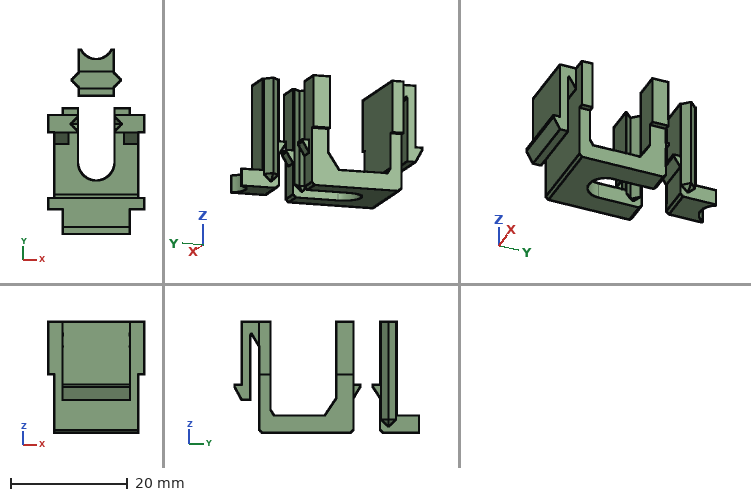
import cadquery as cq

height = 19.0
floor_height = 2.97
bottom_chamfer = 0.5

latch_front = 1.23
latch_back = 2.75
front_wall_start = 4.25
front_wall_end = 6.23
back_wall_start = 17.4
back_wall_end = 20.38

body_width = 14.4
shoulder_width = 16.5
shoulder_height = 10.0
latch_width = 11.53
latch_bottom = 5.62
hinge_low = 14.75
hinge_apex_y = 2.9
hinge_apex_z = 16.95
hinge_end = 16.62
inner_chamfer_run = 0.57
inner_chamfer_rise = 0.95
gusset_width = 2.5
gusset_run = 1.95
gusset_rise = 2.95
slot_width = 6.2
slot_front = 9.2

slider_barb_reach = 1.25
back_barb_reach = 1.17
barb_top = 8.22
barb_lip = 0.35
barb_bottom = 5.95

guide_depth = 1.25
guide_half_width = 1.3
guide_bottom = 2.28
guide_point = 1.05
groove_y = 18.83

slider_width = 6.0
slider_front = 24.9
slider_back = 27.85
slider_end = 31.6
rib_y = 26.35
end_land = 0.38
scoop_depth = 1.65


def side_prism(points, width, x_center=0):
    """Extrude a (Y, Z) outline along X, centred on x_center."""
    return (
        cq.Workplane("YZ", origin=(x_center, 0, 0))
        .polyline(points)
        .close()
        .extrude(width / 2, both=True)
    )


def block(width, y_start, y_end, z_start, z_end):
    """Box centred on X between the given Y and Z limits."""
    return cq.Workplane("XY").box(
        width, y_end - y_start, z_end - z_start, centered=(True, False, False)
    ).translate((0, y_start, z_start))


def pointed_guide(face_x, y_center, side):
    """V-section bar standing out from face_x, ending below in a sloping point."""
    tip_x = face_x + side * guide_depth
    bar = (
        cq.Workplane("XY", origin=(0, 0, guide_bottom))
        .polyline([
            (face_x, y_center - guide_half_width),
            (tip_x, y_center),
            (face_x, y_center + guide_half_width),
        ])
        .close()
        .extrude(height - guide_bottom)
    )
    near = cq.Vector(face_x, y_center - guide_half_width, guide_bottom)
    far = cq.Vector(face_x, y_center + guide_half_width, guide_bottom)
    tip = cq.Vector(tip_x, y_center, guide_bottom)
    low = cq.Vector(face_x, y_center, guide_point)
    corners = [(near, far, tip), (near, tip, low), (tip, far, low), (far, near, low)]
    faces = [cq.Face.makeFromWires(cq.Wire.makePolygon(list(c), close=True)) for c in corners]
    point = cq.Solid.makeSolid(cq.Shell.makeShell(faces))
    return bar.union(cq.Workplane(point))


def barb(base_y, reach, direction, width):
    """Wedge with a flat top, standing out from base_y along direction * Y."""
    tip_y = base_y + direction * reach
    return side_prism([
        (base_y, barb_top),
        (tip_y, barb_top),
        (tip_y, barb_top - barb_lip),
        (base_y, barb_bottom),
    ], width)


def make_channel():
    """U-shaped body with its gussets and widened upper walls."""
    channel = side_prism([
        (front_wall_start, bottom_chamfer),
        (front_wall_start + bottom_chamfer, 0),
        (back_wall_end - bottom_chamfer, 0),
        (back_wall_end, bottom_chamfer),
        (back_wall_end, height),
        (back_wall_start, height),
        (back_wall_start, floor_height),
        (front_wall_end + inner_chamfer_run, floor_height),
        (front_wall_end, floor_height + inner_chamfer_rise),
        (front_wall_end, height),
        (front_wall_start, height),
    ], body_width)
    for y_start, y_end in [(front_wall_start, front_wall_end), (back_wall_start, back_wall_end)]:
        channel = channel.union(block(shoulder_width, y_start, y_end, shoulder_height, height))
    for side in (-1, 1):
        gusset = side_prism([
            (back_wall_start, floor_height),
            (back_wall_start, floor_height + gusset_rise),
            (back_wall_start - gusset_run, floor_height),
        ], gusset_width, side * (body_width - gusset_width) / 2)
        channel = channel.union(gusset)
    return channel


def make_latch():
    """Hanging spring arm with a hook, joined to the front wall at the top."""
    return side_prism([
        (front_wall_start, height),
        (latch_front, height),
        (latch_front, barb_top),
        (0, barb_top),
        (0, barb_top - barb_lip),
        (latch_front, latch_bottom),
        (latch_back, latch_bottom),
        (latch_back, hinge_end),
        (hinge_apex_y, hinge_apex_z),
        (front_wall_start, hinge_low),
    ], latch_width)


def make_slot():
    """Round-ended opening through the floor and the back wall."""
    radius = slot_width / 2
    center_y = slot_front + radius
    round_end = cq.Workplane("XY").center(0, center_y).circle(radius).extrude(height)
    return round_end.union(block(slot_width, center_y, back_wall_end + back_barb_reach, 0, height))


def make_holder():
    holder = make_channel().union(make_latch())
    holder = holder.union(barb(back_wall_end, back_barb_reach, 1, latch_width))
    holder = holder.cut(make_slot())
    for side in (-1, 1):
        holder = holder.cut(pointed_guide(side * slot_width / 2, groove_y, side))
    return holder


def make_slider():
    slider = side_prism([
        (slider_front, bottom_chamfer),
        (slider_front + bottom_chamfer, 0),
        (slider_end, 0),
        (slider_end, floor_height),
        (slider_back, floor_height),
        (slider_back, height),
        (slider_front, height),
    ], slider_width)
    slider = slider.union(barb(slider_front, slider_barb_reach, -1, slider_width))
    for side in (-1, 1):
        slider = slider.union(pointed_guide(side * slider_width / 2, rib_y, side))
    scoop_half_width = slider_width / 2 - end_land
    scoop = (
        cq.Workplane("XY")
        .moveTo(-scoop_half_width, slider_end)
        .threePointArc((0, slider_end - scoop_depth), (scoop_half_width, slider_end))
        .close()
        .extrude(floor_height)
    )
    return slider.cut(scoop)


holder = make_holder()
slider = make_slider()

result = cq.Compound.makeCompound([holder.val(), slider.val()])